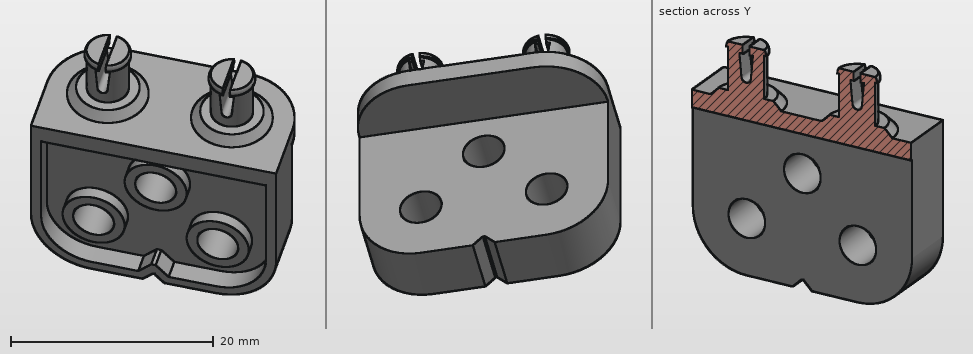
import cadquery as cq
import math

width = 25.1
top_depth = 12.42
body_depth = 6.07
body_height = 18.85
top_thickness = 1.98
corner_radius = 6.2

side_wall = 1.05
bottom_wall = 1.0
cavity_depth = 2.13
cavity_radius = corner_radius - side_wall

notch_height = 1.1
notch_tip = 0.1
rib_height = 1.55
rib_tip = 0.23

hole_diameter = 4.2
boss_diameter = 6.35
boss_setback = 0.83
hole_offset = width / 2 - corner_radius
lower_hole_z = corner_radius - body_height
upper_hole_z = lower_hole_z + hole_offset
hole_centers = [(-hole_offset, lower_hole_z), (hole_offset, lower_hole_z), (0, upper_hole_z)]

pin_diameter = hole_diameter
pin_height = 6.2
pin_y = top_depth - corner_radius
collar_base_diameter = 8.08
collar_top_diameter = 6.28
collar_height = (collar_base_diameter - collar_top_diameter) / 2
head_diameter = 4.62
head_height = 0.65
head_bulge = 0.08
slot_width = 0.75
slot_depth = 1.03
relief_top_width = 1.48
relief_bottom_width = 1.03
relief_depth = 4.02


def front_sketch(y):
    """Sketch plane at the given Y with local axes along X and Z, extruding toward +Y."""
    return cq.Workplane("XZ", origin=(0, y, 0))


def shield(half_width, top, bottom, radius, notch, tip, depth):
    """Flat-topped plate with round lower corners and a blunt V notch in the lower edge."""
    diagonal = radius * math.sqrt(0.5)
    arc_x = half_width - radius
    arc_z = bottom + radius
    return (
        front_sketch(0)
        .moveTo(-half_width, top)
        .lineTo(half_width, top)
        .lineTo(half_width, arc_z)
        .threePointArc((arc_x + diagonal, arc_z - diagonal), (arc_x, bottom))
        .lineTo(notch, bottom)
        .lineTo(tip, bottom + notch - tip)
        .lineTo(-tip, bottom + notch - tip)
        .lineTo(-notch, bottom)
        .lineTo(-arc_x, bottom)
        .threePointArc((-arc_x - diagonal, arc_z - diagonal), (-half_width, arc_z))
        .close()
        .extrude(-depth)
    )


def make_top_plate():
    plate = cq.Workplane("XY").box(width, top_depth, top_thickness, centered=(True, False, False))
    plate = plate.edges("|Z and >Y").fillet(corner_radius)
    return plate.translate((0, 0, -top_thickness))


def make_body():
    body = shield(width / 2, 0, -body_height, corner_radius, notch_height, notch_tip, body_depth)
    cavity = shield(
        width / 2 - side_wall,
        -top_thickness,
        bottom_wall - body_height,
        cavity_radius,
        rib_height,
        rib_tip,
        cavity_depth,
    )
    bosses = (
        front_sketch(boss_setback)
        .pushPoints(hole_centers)
        .circle(boss_diameter / 2)
        .extrude(boss_setback - body_depth)
    )
    holes = front_sketch(0).pushPoints(hole_centers).circle(hole_diameter / 2).extrude(-body_depth)
    return body.cut(cavity).union(make_top_plate()).union(bosses).cut(holes)


def make_pin():
    """Pin standing on the XY plane, split along Y by a slot that widens into a tapered relief."""
    pin_radius = pin_diameter / 2
    head_radius = head_diameter / 2
    head_bottom = pin_height - head_height
    head_middle = ((head_radius + pin_radius) / 2 + head_bulge, pin_height - head_height / 2)
    profile = (
        cq.Workplane("XZ")
        .moveTo(0, 0)
        .lineTo(collar_base_diameter / 2, 0)
        .lineTo(collar_top_diameter / 2, collar_height)
        .lineTo(pin_radius, collar_height)
        .lineTo(pin_radius, head_bottom)
        .lineTo(head_radius, head_bottom)
        .threePointArc(head_middle, (pin_radius, pin_height))
        .lineTo(0, pin_height)
        .close()
    )
    pin = profile.revolve(360, (0, 0, 0), (0, 1, 0))

    relief_top = pin_height - slot_depth
    relief_bottom = pin_height - relief_depth
    round_radius = relief_bottom_width / 2
    slot = (
        cq.Workplane("XZ")
        .moveTo(-slot_width / 2, pin_height)
        .lineTo(-slot_width / 2, relief_top)
        .lineTo(-relief_top_width / 2, relief_top)
        .lineTo(-round_radius, relief_bottom + round_radius)
        .threePointArc((0, relief_bottom), (round_radius, relief_bottom + round_radius))
        .lineTo(relief_top_width / 2, relief_top)
        .lineTo(slot_width / 2, relief_top)
        .lineTo(slot_width / 2, pin_height)
        .close()
        .extrude(head_diameter, both=True)
    )
    return pin.cut(slot)


result = make_body()
for pin_x in (-hole_offset, hole_offset):
    result = result.union(make_pin().translate((pin_x, pin_y, 0)))